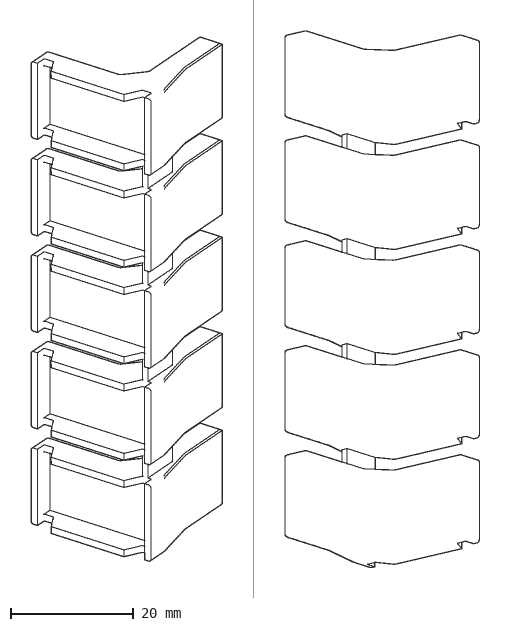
import cadquery as cq

clip_count = 5
total_length = 85.2
clip_height = 14.1
clip_pitch = (total_length - clip_height) / (clip_count - 1)

width = 23.8
depth = 24.0
base_top = 5.7
leg_left = 17.55
leg_right = 22.1
brace_start = 14.4
brace_top = 9.2
slope_top = 13.5
slope_bottom = 4.8
edge_round = 0.5
back_chamfer = 0.25

wall = 1.3
floor_level = 4.6

lip_level = 1.0
notch_level = 3.0
notch_width = 1.8
plate_slant = 1.6
notch_round = 0.2

pad_chord = 8.3
pad_reach = 0.8
pad_height = floor_level - notch_level
pad_taper = 8.0

web_left = width - wall - notch_width
web_thickness = 1.1
web_bottom = notch_level
web_top = 10.05


def box(x_range, y_range, z_range):
    """Axis-aligned box between the given limits."""
    sizes = [high - low for low, high in (x_range, y_range, z_range)]
    corner = (x_range[0], y_range[0], z_range[0])
    return cq.Workplane("XY").box(*sizes, centered=False).translate(corner)


def prism(points):
    """Outline in X and Y extruded over the height of one clip."""
    return cq.Workplane("XY").polyline(points).close().extrude(clip_height)


def back_envelope():
    """Space in front of the upright and sloped back planes, with chamfered back rims.

    The slope runs on past the right wall so that it trims the wall cleanly.
    """
    slope_run = (width - leg_right) / (slope_top - slope_bottom)
    slope_foot = leg_right + slope_run * slope_top
    envelope = prism([
        (0, 0),
        (0, depth),
        (leg_right, depth),
        (leg_right, slope_top),
        (slope_foot, 0),
    ])
    back_rims = cq.selectors.BoxSelector(
        (leg_right - back_chamfer, 0, -back_chamfer),
        (slope_foot, depth, clip_height + back_chamfer),
    )
    return envelope.edges(back_rims).edges("not |Z").chamfer(back_chamfer)


def outer_block():
    """Solid L, rounded all over except at the open edge and the trimmed back."""
    block = prism([
        (0, 0),
        (0, base_top),
        (brace_start, base_top),
        (leg_left, brace_top),
        (leg_left, depth),
        (width, depth),
        (width, 0),
    ])
    block = block.edges("not <Y").fillet(edge_round)
    return block.intersect(back_envelope())


def notch(wall_x, inward):
    """Cutter for one notch and the end wall beside it; inward is +1 or -1 along X."""
    notch_end = wall_x + inward * notch_width
    opening = prism([
        (wall_x, 0),
        (wall_x, notch_level),
        (notch_end, notch_level),
        (notch_end + inward * plate_slant, 0),
    ])
    opening = opening.edges("|Z and >Y").fillet(notch_round)
    outer_x = wall_x - inward * wall
    end_wall = box(sorted((outer_x, wall_x)), (0, lip_level), (0, clip_height))
    return opening.union(end_wall)


def cavity():
    return box((wall, width - wall), (0, floor_level), (wall, clip_height - wall))


def pad():
    """Tapered round pad, kept only inside the cavity."""
    radius = ((pad_chord / 2) ** 2 + pad_reach ** 2) / (2 * pad_reach)
    center_x = width - wall - pad_reach + radius
    cone = (
        cq.Workplane("XZ", origin=(center_x, floor_level, clip_height / 2))
        .circle(radius)
        .extrude(pad_height, taper=pad_taper)
    )
    return cone.intersect(cavity())


def clip():
    body = outer_block().cut(cavity()).union(pad())
    return body.cut(notch(wall, 1)).cut(notch(width - wall, -1))


def web():
    """Web filling the gap above one clip, with its ends sunk into both side plates."""
    return box(
        (web_left, web_left + web_thickness),
        (web_bottom, web_top),
        (clip_height - wall, clip_pitch + wall),
    )


one_clip = clip()
one_web = web()
result = one_clip
for index in range(1, clip_count):
    result = result.union(one_web.translate((0, 0, (index - 1) * clip_pitch)))
    result = result.union(one_clip.translate((0, 0, index * clip_pitch)))